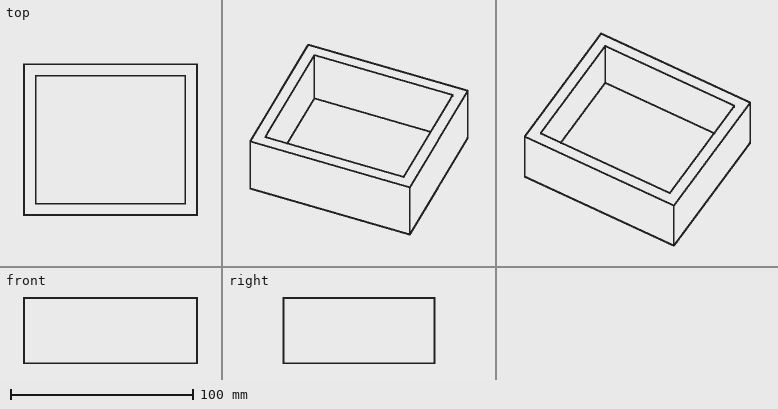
import cadquery as cq

length = 95.0
width = 83.0
height = 36.0

wall = 6.4
floor = 3.0

block = cq.Workplane("XY").box(length, width, height, centered=(True, True, False))

cavity = (
    cq.Workplane("XY")
    .workplane(offset=floor)
    .rect(length - 2 * wall, width - 2 * wall)
    .extrude(height - floor)
)

result = block.cut(cavity)